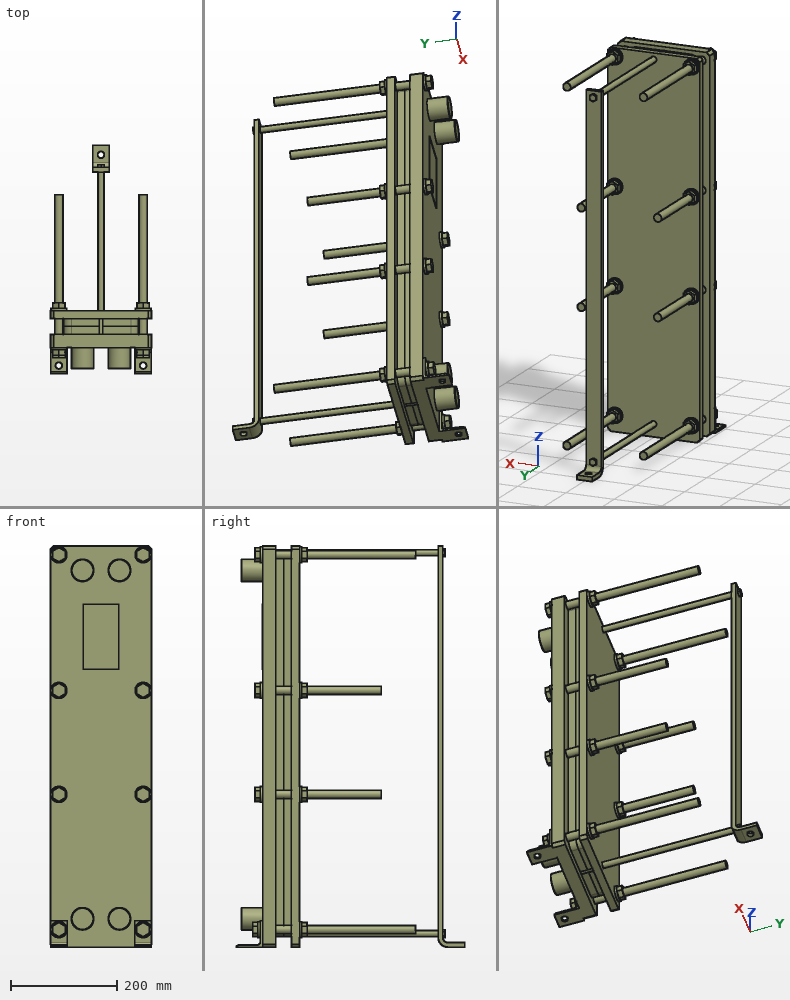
import cadquery as cq
import math


OVERALL_DEPTH = 430.0

PLATE_WIDTH = 190.0
PLATE_HEIGHT = 755.0
CORNER_CHAMFER = 6.0
FIXED_THICKNESS = 25.0
PRESSURE_THICKNESS = 15.0

PACK_HALVES = 2
PACK_HALF_THICKNESS = 14.7
PACK_WIDTH = 142.0
PACK_CORNER_RADIUS = 15.0
PACK_BOTTOM = 20.5
PACK_TOP = 747.5
PACK_BACK_Y = FIXED_THICKNESS + PACK_HALVES * PACK_HALF_THICKNESS
PRESSURE_BACK_Y = PACK_BACK_Y + PRESSURE_THICKNESS

BOLT_DIAMETER = 16.0
BOLT_X = 79.0
BOTTOM_BOLT_Z = 33.0
LOWER_BOLT_Z = 288.0
UPPER_BOLT_Z = 483.0
TOP_BOLT_Z = 738.5
LONG_BOLT_END_Y = 288.0
SHORT_BOLT_END_Y = 223.5
BOLT_END_Y = {
    BOTTOM_BOLT_Z: LONG_BOLT_END_Y,
    LOWER_BOLT_Z: SHORT_BOLT_END_Y,
    UPPER_BOLT_Z: SHORT_BOLT_END_Y,
    TOP_BOLT_Z: LONG_BOLT_END_Y,
}
WASHER_DIAMETER = 30.0
WASHER_THICKNESS = 4.5
HEX_ACROSS_FLATS = 23.5
HEX_HEIGHT = 10.0

PORT_DIAMETER = 42.0
PORT_LENGTH = 40.0
PORT_CHAMFER = 1.1
PORT_X = 35.0
PORT_HEIGHTS = (53.5, 709.0)

NAMEPLATE_WIDTH = 66.5
NAMEPLATE_BOTTOM = 523.0
NAMEPLATE_TOP = 645.5
NAMEPLATE_THICKNESS = 1.0

FOOT_WIDTH = 31.0
FOOT_LENGTH = 50.0
FOOT_HEIGHT = 50.0
FOOT_THICKNESS = 4.5
FOOT_BEND_RADIUS = 5.0
FOOT_BEVEL_LENGTH = 4.5
FOOT_BEVEL_DROP = 3.0
FOOT_HOLE_FROM_TIP = 16.0
ANCHOR_HOLE_DIAMETER = 12.0

COLUMN_WIDTH = 32.0
COLUMN_THICKNESS = 9.0
COLUMN_FRONT_Y = 330.0
COLUMN_TIP_Y = OVERALL_DEPTH - FOOT_LENGTH
COLUMN_BEND_RADIUS = 10.0
COLUMN_HOLE_FROM_TIP = 18.0
ROD_DIAMETER = 12.0
ROD_HEIGHTS = (26.0, 742.0)
ROD_HEAD_ACROSS_FLATS = 13.0
ROD_HEAD_HEIGHT = 4.5


def block(width, y_start, y_end, z_start, z_end):
    """Box centred on X = 0 between the given Y and Z limits."""
    size = (width, y_end - y_start, z_end - z_start)
    return cq.Workplane("XY").box(*size, centered=(True, False, False)).translate((0, y_start, z_start))


def cylinder_y(diameter, x, z, y_start, y_end):
    """Round bar along Y."""
    return cq.Workplane("XZ", origin=(x, y_start, z)).circle(diameter / 2).extrude(y_start - y_end)


def hexagon_y(across_flats, x, z, y_start, y_end):
    """Hexagonal bar along Y with two corners pointing up and down."""
    across_corners = across_flats / math.cos(math.pi / 6)
    outline = cq.Workplane("XZ", origin=(x, y_start, z)).transformed(rotate=(0, 0, 90))
    return outline.polygon(6, across_corners).extrude(y_start - y_end)


def clamp_plate(y_start, y_end):
    """Rectangular end plate with chamfered corners."""
    plate = block(PLATE_WIDTH, y_start, y_end, 0, PLATE_HEIGHT)
    return plate.edges("|Y").chamfer(CORNER_CHAMFER)


def tie_bolt(x, z, seat_y, end_y):
    """Bolt whose head washer sits on the plane Y = seat_y and whose nut sits on the pressure plate."""
    head_y = seat_y - WASHER_THICKNESS
    nut_y = PRESSURE_BACK_Y + WASHER_THICKNESS
    bolt = cylinder_y(BOLT_DIAMETER, x, z, seat_y, end_y)
    bolt = bolt.union(cylinder_y(WASHER_DIAMETER, x, z, head_y, seat_y))
    bolt = bolt.union(hexagon_y(HEX_ACROSS_FLATS, x, z, head_y - HEX_HEIGHT, head_y))
    bolt = bolt.union(cylinder_y(WASHER_DIAMETER, x, z, PRESSURE_BACK_Y, nut_y))
    return bolt.union(hexagon_y(HEX_ACROSS_FLATS, x, z, nut_y, nut_y + HEX_HEIGHT))


def port(x, z):
    """Round connection stub on the front face with its outer rim broken."""
    return cylinder_y(PORT_DIAMETER, x, z, -PORT_LENGTH, 0).faces("<Y").chamfer(PORT_CHAMFER)


def anchor_hole(x, y, depth):
    """Vertical cutter for an anchor hole through a foot."""
    return cq.Workplane("XY", origin=(x, y, 0)).circle(ANCHOR_HOLE_DIAMETER / 2).extrude(depth)


def angle_foot(x):
    """L-shaped foot on the front face with a bevelled tip and an anchor hole."""
    foot = (
        cq.Workplane("YZ", origin=(x - FOOT_WIDTH / 2, 0, 0))
        .moveTo(0, 0)
        .lineTo(0, FOOT_HEIGHT)
        .lineTo(-FOOT_THICKNESS, FOOT_HEIGHT)
        .lineTo(-FOOT_THICKNESS, FOOT_THICKNESS + FOOT_BEND_RADIUS)
        .radiusArc((-FOOT_THICKNESS - FOOT_BEND_RADIUS, FOOT_THICKNESS), FOOT_BEND_RADIUS)
        .lineTo(-FOOT_LENGTH + FOOT_BEVEL_LENGTH, FOOT_THICKNESS)
        .lineTo(-FOOT_LENGTH, FOOT_THICKNESS - FOOT_BEVEL_DROP)
        .lineTo(-FOOT_LENGTH, 0)
        .close()
        .extrude(FOOT_WIDTH)
    )
    return foot.cut(anchor_hole(x, FOOT_HOLE_FROM_TIP - FOOT_LENGTH, FOOT_THICKNESS))


def guide_rod(z):
    """Rod from the fixed plate through the column, ending in a small hexagonal head."""
    column_back_y = COLUMN_FRONT_Y + COLUMN_THICKNESS
    rod = cylinder_y(ROD_DIAMETER, 0, z, FIXED_THICKNESS, column_back_y)
    head = hexagon_y(ROD_HEAD_ACROSS_FLATS, 0, z, column_back_y, column_back_y + ROD_HEAD_HEIGHT)
    return rod.union(head)


def make_fixed_plate():
    """Fixed plate with its nameplate, ports, feet and tie bolts."""
    plate = clamp_plate(0, FIXED_THICKNESS)
    plate = plate.union(block(NAMEPLATE_WIDTH, -NAMEPLATE_THICKNESS, 0, NAMEPLATE_BOTTOM, NAMEPLATE_TOP))
    for side in (-1, 1):
        plate = plate.union(angle_foot(side * BOLT_X))
        for z in PORT_HEIGHTS:
            plate = plate.union(port(side * PORT_X, z))
        for z, end_y in BOLT_END_Y.items():
            seat_y = -FOOT_THICKNESS if z == BOTTOM_BOLT_Z else 0
            plate = plate.union(tie_bolt(side * BOLT_X, z, seat_y, end_y))
    return plate


def make_pack_half(y_start):
    """One half of the plate pack, grooved top and bottom where the guide rods pass."""
    y_end = y_start + PACK_HALF_THICKNESS
    pack = block(PACK_WIDTH, y_start, y_end, PACK_BOTTOM, PACK_TOP)
    pack = pack.edges("|Y").fillet(PACK_CORNER_RADIUS)
    for z in ROD_HEIGHTS:
        pack = pack.cut(cylinder_y(ROD_DIAMETER, 0, z, y_start, y_end))
    return pack


def make_pressure_plate():
    """Pressure plate with holes for the guide rods and tie bolts."""
    plate = clamp_plate(PACK_BACK_Y, PRESSURE_BACK_Y)
    for rod_z in ROD_HEIGHTS:
        plate = plate.cut(cylinder_y(ROD_DIAMETER, 0, rod_z, PACK_BACK_Y, PRESSURE_BACK_Y))
    for x in (-BOLT_X, BOLT_X):
        for z in BOLT_END_Y:
            plate = plate.cut(cylinder_y(BOLT_DIAMETER, x, z, PACK_BACK_Y, PRESSURE_BACK_Y))
    return plate


def make_column():
    """Rear column bent from strip into a foot, carrying the two guide rods."""
    back_y = COLUMN_FRONT_Y + COLUMN_THICKNESS
    outer_radius = COLUMN_BEND_RADIUS + COLUMN_THICKNESS
    column = (
        cq.Workplane("YZ", origin=(-COLUMN_WIDTH / 2, 0, 0))
        .moveTo(COLUMN_FRONT_Y, PLATE_HEIGHT)
        .lineTo(back_y, PLATE_HEIGHT)
        .lineTo(back_y, outer_radius)
        .radiusArc((back_y + COLUMN_BEND_RADIUS, COLUMN_THICKNESS), -COLUMN_BEND_RADIUS)
        .lineTo(COLUMN_TIP_Y, COLUMN_THICKNESS)
        .lineTo(COLUMN_TIP_Y, 0)
        .lineTo(COLUMN_FRONT_Y + outer_radius, 0)
        .radiusArc((COLUMN_FRONT_Y, outer_radius), outer_radius)
        .close()
        .extrude(COLUMN_WIDTH)
    )
    column = column.cut(anchor_hole(0, COLUMN_TIP_Y - COLUMN_HOLE_FROM_TIP, COLUMN_THICKNESS))
    for z in ROD_HEIGHTS:
        column = column.union(guide_rod(z))
    return column


fixed_plate = make_fixed_plate()
pack_halves = [make_pack_half(FIXED_THICKNESS + i * PACK_HALF_THICKNESS) for i in range(PACK_HALVES)]
pressure_plate = make_pressure_plate()
column = make_column()

result = cq.Compound.makeCompound(
    [fixed_plate.val(), *[half.val() for half in pack_halves], pressure_plate.val(), column.val()]
)